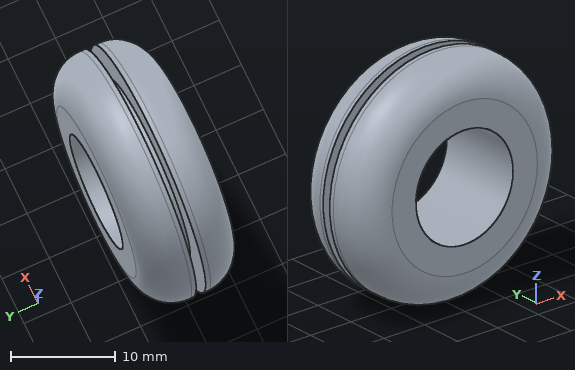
import cadquery as cq
import math

outer_diameter = 26.0
thickness = 10.0
bore_diameter = 12.0
groove_diameter = 19.0
groove_width = 1.0
rim_round = 4.0

outer_radius = outer_diameter / 2
bore_radius = bore_diameter / 2
groove_radius = groove_diameter / 2
half_thickness = thickness / 2
half_groove = groove_width / 2

face_radius = outer_radius - rim_round
land_end = half_thickness - rim_round

mid_offset = rim_round * math.sqrt(0.5)
round_mid_radius = face_radius + mid_offset
round_mid_y = land_end + mid_offset

section = (
    cq.Workplane("XY")
    .moveTo(bore_radius, -half_thickness)
    .lineTo(face_radius, -half_thickness)
    .threePointArc((round_mid_radius, -round_mid_y), (outer_radius, -land_end))
    .lineTo(outer_radius, -half_groove)
    .lineTo(groove_radius, -half_groove)
    .lineTo(groove_radius, half_groove)
    .lineTo(outer_radius, half_groove)
    .lineTo(outer_radius, land_end)
    .threePointArc((round_mid_radius, round_mid_y), (face_radius, half_thickness))
    .lineTo(bore_radius, half_thickness)
    .close()
)

result = section.revolve(360, (0, 0, 0), (0, 1, 0))